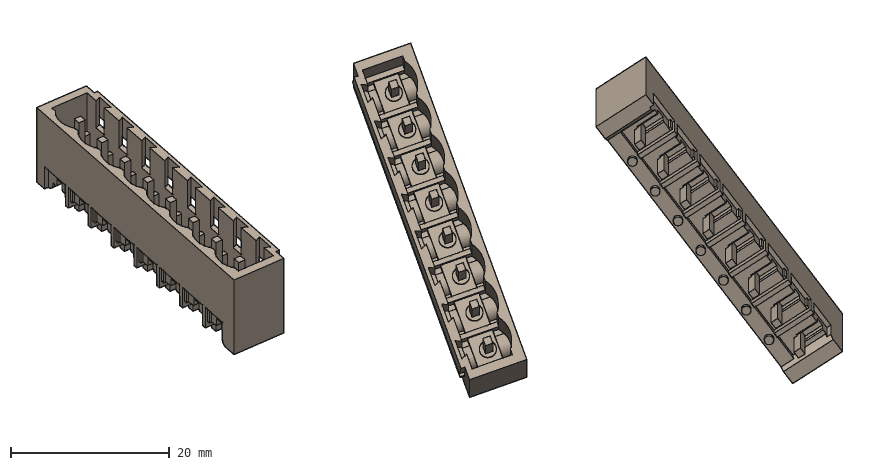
import cadquery as cq
import math

length = 43.2
depth = 7.7
height = 11.95

pin_count = 8
end_to_pin = 4.1
pitch = (length - 2 * end_to_pin) / (pin_count - 1)
pin_y = 3.75
pin_size = 1.0
pin_bottom = -3.25
pin_top = 10.97
pin_xs = [(i - (pin_count - 1) / 2) * pitch for i in range(pin_count)]
divider_xs = [x + pitch / 2 for x in pin_xs[:-1]]

end_wall = 1.2
cavity_front = 1.5
cavity_back = 6.9
divider_width = 0.65
divider_top = 5.85
cell_width = pitch - divider_width
scallop_wall = 0.78
scallop_depth = cavity_front - scallop_wall

trough_floor = 3.9
band_front = 2.35
band_back = 5.7
band_top = 5.2
barrel_width = 2.95
barrel_radius = 1.65
collar_diameter = 2.15
collar_height = 0.3

groove_floor = 7.65
groove_mouth = 1.73
groove_base = 2.45
back_bar_inset = 1.73
latch_height = 3.15
latch_reach_top = 0.5
latch_reach = 0.75
rib_bottom = 5.95
rib_top = 6.6
rib_reach = 0.65

opening_top = 3.55
opening_left_inset = 1.73
opening_right_inset = 2.6
opening_depth = 0.6
ceiling = 1.3
ceiling_inset = 2.75
foot_inset = 2.05
foot_step = ceiling_inset - foot_inset
foot_radius = (foot_step**2 + ceiling**2) / (2 * foot_step)
back_sill_bottom = 0.5
web_bottom = 0.25
side_strip_width = 1.55
side_strip_front = 0.3
side_strip_bottom = 1.2
standoff_diameter = 1.2
standoff_y = (band_back + depth) / 2
notch_width = 1.1
notch_top = 2.5
notch_chamfer = 0.17


def box(x_min, x_max, y_min, y_max, z_min, z_max):
    """Axis-aligned block given by its limits."""
    size = (x_max - x_min, y_max - y_min, z_max - z_min)
    return cq.Workplane("XY").box(*size, centered=False).translate((x_min, y_min, z_min))


def centred_box(x, width, y_min, y_max, z_min, z_max):
    """Block centred on a given X."""
    return box(x - width / 2, x + width / 2, y_min, y_max, z_min, z_max)


def along_y(profile, y_min, y_max):
    """Extrude a closed XZ profile, drawn on Y = 0, between two Y positions."""
    return profile.extrude(y_min - y_max).translate((0, y_min, 0))


def cavity():
    """Rectangular upper cavity above the dividers."""
    inner = length - 2 * end_wall
    return centred_box(0, inner, cavity_front, cavity_back, divider_top, height)


def cell_outline(x):
    """Plan of one cell: a rectangle whose front side bulges into the front wall."""
    left = x - cell_width / 2
    right = x + cell_width / 2
    return (
        cq.Workplane("XY")
        .moveTo(left, cavity_back)
        .lineTo(left, cavity_front)
        .threePointArc((x, cavity_front - scallop_depth), (right, cavity_front))
        .lineTo(right, cavity_back)
        .close()
    )


def cell_floor(x):
    """Barrel, pin band and collar that rise from the bottom of one cell."""
    half = barrel_width / 2
    sagitta = barrel_radius - math.sqrt(barrel_radius**2 - half**2)
    barrel_profile = (
        cq.Workplane("XZ")
        .moveTo(x - half, trough_floor)
        .threePointArc((x, trough_floor + sagitta), (x + half, trough_floor))
        .close()
    )
    barrel = along_y(barrel_profile, scallop_wall, cavity_back)
    band = centred_box(x, cell_width, band_front, band_back, trough_floor, band_top)
    collar = (
        cq.Workplane("XY", origin=(x, pin_y, band_top))
        .circle(collar_diameter / 2)
        .extrude(collar_height)
    )
    return barrel.union(band).union(collar)


def cell_void(x):
    """Space to remove for one cell, leaving its floor standing."""
    void = cell_outline(x).extrude(height - trough_floor).translate((0, 0, trough_floor))
    return void.cut(cell_floor(x))


def key_groove(x):
    """Dovetail groove through the back wall, wider towards the outside."""
    return (
        cq.Workplane("XY", origin=(x, 0, groove_floor))
        .polyline([
            (-groove_mouth / 2, cavity_back),
            (groove_mouth / 2, cavity_back),
            (groove_base / 2, depth),
            (-groove_base / 2, depth),
        ])
        .close()
        .extrude(height - groove_floor)
    )


def back_latch():
    """Wedge along the top of the back wall, thickest at its lower edge."""
    latch_bottom = height - latch_height
    return (
        cq.Workplane("YZ")
        .polyline([
            (depth, height),
            (depth + latch_reach_top, height),
            (depth + latch_reach, latch_bottom),
            (depth, latch_bottom),
        ])
        .close()
        .extrude(length / 2 - back_bar_inset, both=True)
    )


def back_rib():
    """Thin straight rib along the outside of the back wall."""
    rib_length = length - 2 * back_bar_inset
    return centred_box(0, rib_length, depth, depth + rib_reach, rib_bottom, rib_top)


def underside_void():
    """Channel between the rounded end feet, shallower under the sill along the back."""
    top_half = length / 2 - ceiling_inset
    foot_half = length / 2 - foot_inset
    middle_angle = math.asin(ceiling / foot_radius) / 2
    arc_half = top_half + foot_radius * (1 - math.cos(middle_angle))
    arc_z = ceiling - foot_radius * math.sin(middle_angle)
    profile = (
        cq.Workplane("XZ")
        .moveTo(-top_half, ceiling)
        .lineTo(top_half, ceiling)
        .threePointArc((arc_half, arc_z), (foot_half, 0))
        .lineTo(-foot_half, 0)
        .threePointArc((-arc_half, arc_z), (-top_half, ceiling))
        .close()
    )
    back_sill = centred_box(0, length, band_back, depth, back_sill_bottom, ceiling)
    return along_y(profile, 0, depth).cut(back_sill)


def front_opening():
    """Shallow recess along the foot of the front wall."""
    left = -length / 2 + opening_left_inset
    right = length / 2 - opening_right_inset
    return box(left, right, 0, opening_depth, 0, opening_top)


def divider_support(x):
    """Web, stepped front strip and round standoff below one divider."""
    web = centred_box(x, divider_width, 0, band_back, web_bottom, opening_top)
    strip = centred_box(
        x, side_strip_width, side_strip_front, opening_depth, side_strip_bottom, opening_top
    )
    standoff = cq.Workplane("XY", origin=(x, standoff_y, 0)).circle(standoff_diameter / 2).extrude(ceiling)
    return web.union(strip).union(standoff)


def pin_notch(x):
    """Slot in the underside from the front up to the pin, with a flared entry."""
    half = notch_width / 2
    flared = half + notch_chamfer
    profile = (
        cq.Workplane("XZ")
        .polyline([
            (x - flared, ceiling),
            (x - half, ceiling + notch_chamfer),
            (x - half, notch_top),
            (x + half, notch_top),
            (x + half, ceiling + notch_chamfer),
            (x + flared, ceiling),
        ])
        .close()
    )
    return along_y(profile, opening_depth, pin_y)


def make_pin(x):
    """Square straight pin."""
    y_min = pin_y - pin_size / 2
    return centred_box(x, pin_size, y_min, y_min + pin_size, pin_bottom, pin_top)


def make_housing():
    """Housing with a matching square hole for every pin."""
    body = centred_box(0, length, 0, depth, 0, height)
    body = body.cut(cavity()).cut(underside_void()).cut(front_opening())
    for x in divider_xs:
        body = body.union(divider_support(x))
    for x in pin_xs:
        body = body.cut(cell_void(x)).cut(key_groove(x)).cut(pin_notch(x))
    body = body.union(back_latch()).union(back_rib())
    for x in pin_xs:
        body = body.cut(make_pin(x))
    return body


housing = make_housing()
pins = [make_pin(x) for x in pin_xs]

result = cq.Compound.makeCompound([housing.val(), *[pin.val() for pin in pins]])